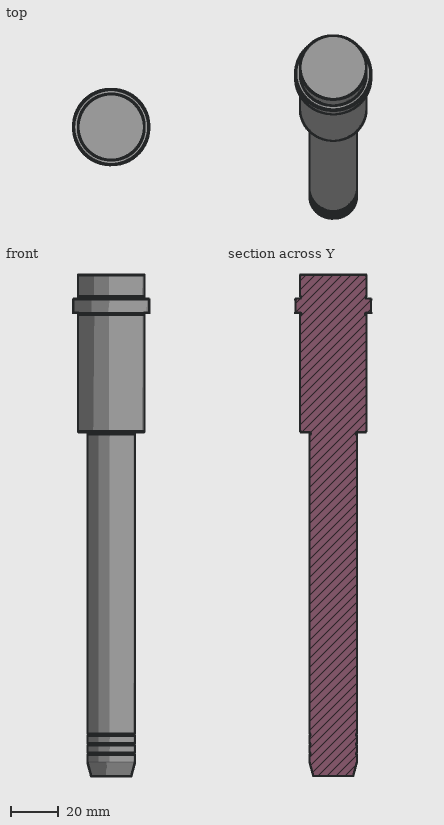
import cadquery as cq
import math

total_length = 210.0

sleeve_diameter = 28.0
sleeve_length = 66.0
sleeve_bottom_chamfer = 0.5
sleeve_top_chamfer = 0.3

flange_diameter = 32.0
flange_thickness = 6.0
flange_chamfer = 0.5
head_length = 10.0

pillar_diameter = 20.0
tip_length = 6.0
tip_half_angle = 15.0
tip_fillet = 0.5

groove_width = 1.0
groove_depth = groove_width / 2
groove_land = 3.0
lubrication_groove_count = 3

tip_diameter = pillar_diameter - 2 * tip_length * math.tan(math.radians(tip_half_angle))
sleeve_bottom = total_length - sleeve_length
flange_top = total_length - head_length
flange_bottom = flange_top - flange_thickness


def cylinder(diameter, bottom, length):
    return cq.Workplane("XY").workplane(offset=bottom).circle(diameter / 2).extrude(length)


def make_pillar():
    shaft = cylinder(pillar_diameter, tip_length, total_length - tip_length)
    tip = (
        cq.Workplane("XY")
        .circle(tip_diameter / 2)
        .workplane(offset=tip_length)
        .circle(pillar_diameter / 2)
        .loft()
        .faces("<Z")
        .edges()
        .fillet(tip_fillet)
    )
    return shaft.union(tip)


def make_sleeve():
    sleeve = cylinder(sleeve_diameter, sleeve_bottom, sleeve_length)
    return sleeve.faces("<Z").edges().chamfer(sleeve_bottom_chamfer)


def make_flange():
    flange = cylinder(flange_diameter, flange_bottom, flange_thickness)
    return flange.faces(">Z").edges().chamfer(flange_chamfer)


def make_v_groove(surface_diameter, bottom):
    """Ring of triangular section that cuts a V-groove into a cylindrical surface."""
    radius = surface_diameter / 2
    section = [
        (radius, bottom),
        (radius, bottom + groove_width),
        (radius - groove_depth, bottom + groove_width / 2),
    ]
    return cq.Workplane("XZ").polyline(section).close().revolve(360, (0, 0, 0), (0, 1, 0))


def cut_corner_reliefs(body):
    above_flange = make_v_groove(sleeve_diameter, flange_top)
    below_flange = make_v_groove(sleeve_diameter, flange_bottom - groove_width)
    below_sleeve = make_v_groove(pillar_diameter, sleeve_bottom - groove_width)
    return body.cut(above_flange).cut(below_flange).cut(below_sleeve)


def cut_lubrication_grooves(body):
    lowest_bottom = tip_length + groove_land
    pitch = groove_width + groove_land
    for index in range(lubrication_groove_count):
        body = body.cut(make_v_groove(pillar_diameter, lowest_bottom + index * pitch))
    return body


result = make_pillar().union(make_sleeve()).union(make_flange())
result = result.faces(">Z").edges().chamfer(sleeve_top_chamfer)
result = cut_corner_reliefs(result)
result = cut_lubrication_grooves(result)